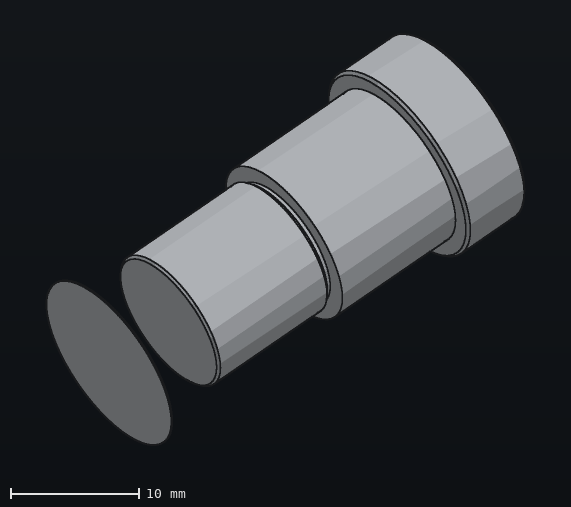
import cadquery as cq

total_length = 35.55
disc_thickness = 0.1
disc_gap = 6.0

head_diameter = 17.0
head_length = 6.0
head_chamfer = 0.25
shoulder_diameter = 14.0
shoulder_length = 11.6
neck_diameter = 11.1
neck_length = 0.43
tip_diameter = 11.98
tip_back_chamfer = 0.3
tip_front_chamfer = 0.2

disc_diameter = 15.0

tip_front = disc_thickness + disc_gap
head_front = total_length - head_length
shoulder_front = head_front - shoulder_length
neck_front = shoulder_front - neck_length
tip_length = neck_front - tip_front


def cylinder(front, diameter, length):
    """Round bar about the Y axis, running from front toward +Y."""
    return cq.Workplane("XZ", origin=(0, front, 0)).circle(diameter / 2).extrude(-length)


def make_screw():
    """Chamfered head, plain shoulder, narrow neck and chamfered tip as one solid."""
    head = cylinder(head_front, head_diameter, head_length).edges().chamfer(head_chamfer)
    shoulder = cylinder(shoulder_front, shoulder_diameter, shoulder_length)
    neck = cylinder(neck_front, neck_diameter, neck_length)
    tip = (
        cylinder(tip_front, tip_diameter, tip_length)
        .faces("<Y").chamfer(tip_front_chamfer)
        .faces(">Y").chamfer(tip_back_chamfer)
    )
    return head.union(shoulder).union(neck).union(tip)


def make_disc():
    """Thin plain disc, coaxial with the screw."""
    return cylinder(0, disc_diameter, disc_thickness)


screw = make_screw()
disc = make_disc()
result = cq.Compound.makeCompound([screw.val(), disc.val()])